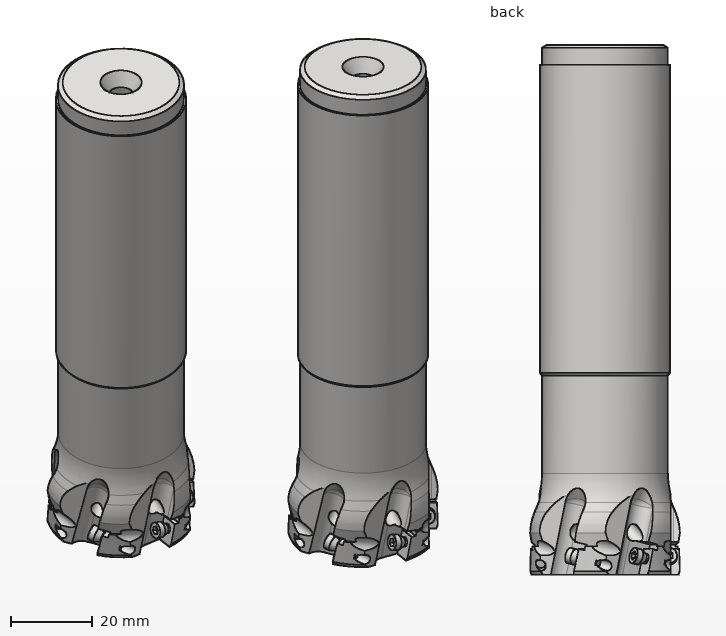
import cadquery as cq
import math


tool_length = 129.5
shank_diameter = 31.9
shank_bottom = 48.7
shank_chamfer_height = 0.6
rear_land_diameter = 30.8
rear_land_length = 4.9
rear_chamfer_width = 1.2
rear_chamfer_height = 0.8
neck_diameter = 30.8
neck_bottom = 24.9

flare_angle = 20.5
flare_bottom = 17.7
cone_bottom = 15.4
shoulder_bottom = 10.4
flank_diameter = 36.8
flank_top = 7.0
flank_step = 0.5
flank_chamfer_height = 0.9
flank_chamfer_width = 0.4

bore_diameter = 6.0
bore_bottom = 16.8
countersink_diameter = 10.1
countersink_angle = 60.0

tooth_count = 6
axial_rake = 13.0

gullet_flat_depth = 16.0
groove_radius = 3.0
groove_depth = 13.7
groove_bend = 16.8
runout_angle = 30.0
seat_offset = -1.5
pocket_top = 8.3
relief_height = 1.4
relief_depth = 1.4
cut_reach = 25.9

branch_diameter = 3.6
branch_start = 18.1
branch_outlet = 8.7

screw_distance = 15.7
screw_height = 4.4
screw_diameter = 2.5
screw_head_diameter = 3.9
screw_head_length = 3.1
screw_head_rim = 1.5
screw_tip = -6.2
screw_front = 2.1
socket_width = 1.8
socket_depth = 1.0
clearance_diameter = 4.1
clearance_distance = 18.3
clearance_position = 6.1
clearance_slant = 16.0

shank_radius = shank_diameter / 2
rear_land_radius = rear_land_diameter / 2
neck_radius = neck_diameter / 2
flank_radius = flank_diameter / 2
groove_offset = groove_radius
groove_axis_depth = groove_depth + groove_radius
slope = math.radians(flare_angle)


def arc_sag(radius, angle):
    """Radial growth of an arc that starts parallel to the axis and turns by the angle."""
    return radius * (1 - math.cos(angle))


def make_revolved_blank():
    flare_radius = (neck_bottom - flare_bottom) / math.sin(slope)
    shoulder_radius = (cone_bottom - shoulder_bottom) / math.sin(slope)
    cone_top_r = neck_radius + arc_sag(flare_radius, slope)
    cone_bottom_r = cone_top_r + (flare_bottom - cone_bottom) * math.tan(slope)
    shoulder_r = cone_bottom_r + arc_sag(shoulder_radius, slope)
    flare_middle = (
        neck_radius + arc_sag(flare_radius, slope / 2),
        neck_bottom - flare_radius * math.sin(slope / 2),
    )
    shoulder_middle = (
        shoulder_r - arc_sag(shoulder_radius, slope / 2),
        shoulder_bottom + shoulder_radius * math.sin(slope / 2),
    )
    land_bottom = tool_length - rear_land_length
    return (
        cq.Workplane("XZ")
        .moveTo(0, 0)
        .lineTo(flank_radius - flank_chamfer_width, 0)
        .lineTo(flank_radius, flank_chamfer_height)
        .lineTo(flank_radius, flank_top)
        .lineTo(flank_radius - flank_step, flank_top)
        .lineTo(shoulder_r, shoulder_bottom)
        .threePointArc(shoulder_middle, (cone_bottom_r, cone_bottom))
        .lineTo(cone_top_r, flare_bottom)
        .threePointArc(flare_middle, (neck_radius, neck_bottom))
        .lineTo(neck_radius, shank_bottom)
        .lineTo(shank_radius, shank_bottom + shank_chamfer_height)
        .lineTo(shank_radius, land_bottom)
        .lineTo(rear_land_radius, land_bottom)
        .lineTo(rear_land_radius, tool_length - rear_chamfer_height)
        .lineTo(rear_land_radius - rear_chamfer_width, tool_length)
        .lineTo(0, tool_length)
        .close()
        .revolve(360, (0, 0, 0), (0, 1, 0))
    )


def make_coolant_bore():
    bore_radius = bore_diameter / 2
    countersink_radius = countersink_diameter / 2
    half_angle = math.radians(countersink_angle / 2)
    countersink_depth = (countersink_radius - bore_radius) / math.tan(half_angle)
    return (
        cq.Workplane("XZ")
        .moveTo(0, bore_bottom)
        .lineTo(bore_radius, bore_bottom)
        .lineTo(bore_radius, tool_length - countersink_depth)
        .lineTo(countersink_radius, tool_length)
        .lineTo(0, tool_length)
        .close()
        .revolve(360, (0, 0, 0), (0, 1, 0))
    )




def block(x_range, cutting_range, z_range):
    """Box between two X values, two distances in the cutting direction and two heights."""
    size = [high - low for low, high in (x_range, cutting_range, z_range)]
    corner = (x_range[0], -cutting_range[1], z_range[0])
    return cq.Workplane("XY").box(*size, centered=False).translate(corner)


def screw_axis_plane(cutting_position):
    """Plane across the screw axis, with its normal in the cutting direction."""
    return cq.Plane(
        origin=(screw_distance, -cutting_position, screw_height),
        xDir=(1, 0, 0),
        normal=(0, -1, 0),
    )


def make_gullet():
    flat = block((gullet_flat_depth, cut_reach), (groove_offset, cut_reach), (-cut_reach, cut_reach))
    groove = (
        cq.Workplane("XY", origin=(groove_axis_depth, -groove_offset, -cut_reach))
        .circle(groove_radius)
        .extrude(cut_reach + groove_bend)
    )
    groove_opening = block(
        (groove_axis_depth, cut_reach),
        (groove_offset - groove_radius, groove_offset + groove_radius),
        (-cut_reach, groove_bend),
    )
    bend = cq.Workplane("XY").sphere(groove_radius)
    runout = cq.Workplane("XY").circle(groove_radius).extrude(cut_reach)
    runout = runout.rotate((0, 0, 0), (0, 1, 0), runout_angle)
    groove_end = bend.union(runout).translate((groove_axis_depth, -groove_offset, groove_bend))
    return flat.union(groove).union(groove_opening).union(groove_end)


def make_seat_recess():
    recess = block((groove_depth, cut_reach), (seat_offset, groove_offset), (-cut_reach, pocket_top))
    relief = block(
        (groove_depth, cut_reach),
        (seat_offset - relief_depth, seat_offset),
        (pocket_top - relief_height, pocket_top),
    )
    return recess.union(relief)


def make_thread_hole():
    return cq.Workplane(screw_axis_plane(seat_offset)).circle(screw_diameter / 2).extrude(-cut_reach)


def make_driver_clearance():
    """Channel that slants into the tooth standing in front of the screw head."""
    return (
        cq.Workplane("XZ")
        .circle(clearance_diameter / 2)
        .extrude(cut_reach, both=True)
        .rotate((0, 0, 0), (0, 0, 1), -clearance_slant)
        .translate((clearance_distance, -clearance_position, screw_height))
    )


def make_screw():
    thread_radius = screw_diameter / 2
    head_radius = screw_head_diameter / 2
    neck = screw_front - screw_head_length
    screw = (
        cq.Workplane("XY")
        .moveTo(0, -screw_tip)
        .lineTo(thread_radius, -screw_tip)
        .lineTo(thread_radius, -neck)
        .lineTo(head_radius, screw_head_rim - screw_front)
        .lineTo(head_radius, -screw_front)
        .lineTo(0, -screw_front)
        .close()
        .revolve(360, (0, 0, 0), (0, 1, 0))
        .translate((screw_distance, 0, screw_height))
    )
    socket = (
        cq.Workplane(screw_axis_plane(screw_front))
        .polygon(6, socket_width, circumscribed=True)
        .extrude(-socket_depth)
    )
    return screw.cut(socket)


def make_coolant_branch():
    drop = cq.Vector(groove_axis_depth, 0, branch_outlet - branch_start)
    plane = cq.Plane(origin=(0, 0, branch_start), xDir=(0, 1, 0), normal=drop.toTuple())
    return cq.Workplane(plane).circle(branch_diameter / 2).extrude(drop.Length)


def tilt_by_rake(shape):
    return shape.rotate((0, 0, 0), (1, 0, 0), -axial_rake)


def at_each_tooth(shape):
    """Copies of a shape, turned about the tool axis to every tooth."""
    pitch = 360 / tooth_count
    return [shape.rotate((0, 0, 0), (0, 0, 1), i * pitch) for i in range(tooth_count)]


def make_cutter_body():
    body = make_revolved_blank().cut(make_coolant_bore())
    tooth_cuts = [
        tilt_by_rake(make_gullet()),
        tilt_by_rake(make_seat_recess()),
        tilt_by_rake(make_thread_hole()),
        tilt_by_rake(make_driver_clearance()),
        make_coolant_branch(),
    ]
    for tooth_cut in tooth_cuts:
        for cutter in at_each_tooth(tooth_cut):
            body = body.cut(cutter)
    return body


cutter_body = make_cutter_body()
screws = at_each_tooth(tilt_by_rake(make_screw()))

result = cq.Compound.makeCompound([cutter_body.val(), *[screw.val() for screw in screws]])